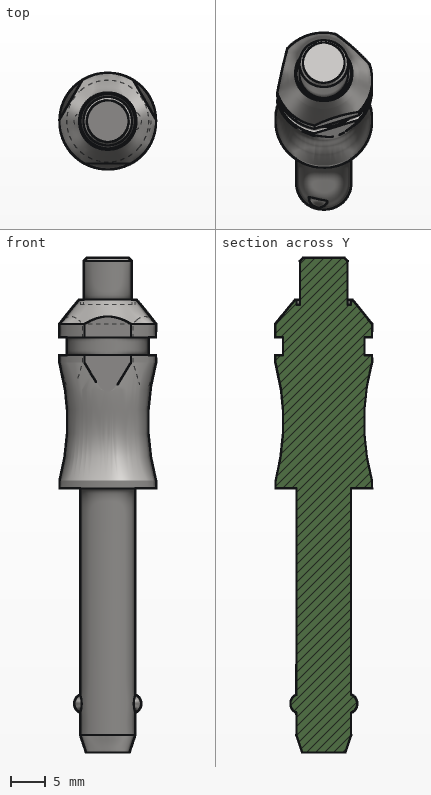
import cadquery as cq

shank_radius = 4.0
tip_radius = 3.15
tip_height = 2.6

ball_radius = 1.4
ball_reach = 4.85
ball_z = 7.05

handle_radius = 7.0
handle_base_z = 38.1
rim_height = 1.1
waist_radius = 5.85
handle_shoulder_z = 57.25
neck_radius = 5.9
head_base_z = 59.8
head_cone_z = 61.75
head_round_radius = 5.05
head_round_z = 64.2
head_top_radius = 4.1
head_top_z = 65.25

flat_distance = 6.1
flat_count = 3
first_flat_angle = -90

button_radius = 3.5
button_chamfer = 0.5
button_gap = 0.4
gap_depth = 0.7
total_height = 71.3


def make_handle():
    """Revolve the grip, neck and head about the pin axis."""
    grip_bottom_z = handle_base_z + rim_height
    grip_top_z = handle_shoulder_z - rim_height
    waist_z = (grip_bottom_z + grip_top_z) / 2
    half_grip = grip_top_z - waist_z
    waist_depth = handle_radius - waist_radius
    grip_curve_radius = (half_grip**2 + waist_depth**2) / (2 * waist_depth)
    return (
        cq.Workplane("XZ")
        .moveTo(0, handle_base_z)
        .lineTo(handle_radius, handle_base_z)
        .lineTo(handle_radius, grip_bottom_z)
        .radiusArc((waist_radius, waist_z), grip_curve_radius)
        .radiusArc((handle_radius, grip_top_z), grip_curve_radius)
        .lineTo(handle_radius, handle_shoulder_z)
        .lineTo(neck_radius, handle_shoulder_z)
        .lineTo(neck_radius, head_base_z)
        .lineTo(handle_radius, head_base_z)
        .lineTo(handle_radius, head_cone_z)
        .lineTo(head_round_radius, head_round_z)
        .tangentArcPoint((head_top_radius, head_top_z), relative=False)
        .lineTo(0, head_top_z)
        .close()
        .revolve(360, (0, 0, 0), (0, 1, 0))
    )


def cut_flats(handle):
    """Cut equally spaced vertical flats that run out in the concave grip."""
    block_height = total_height - handle_base_z
    waist_z = (handle_base_z + handle_shoulder_z) / 2
    for index in range(flat_count):
        angle = first_flat_angle + index * 360 / flat_count
        block = (
            cq.Workplane("XY", origin=(0, 0, waist_z))
            .center(flat_distance + handle_radius / 2, 0)
            .rect(handle_radius, 2 * handle_radius)
            .extrude(block_height)
            .rotate((0, 0, 0), (0, 0, 1), angle)
        )
        handle = handle.cut(block)
    return handle


def make_shank():
    """Shank with a conical tip, reaching into the handle."""
    return (
        cq.Workplane("XZ")
        .moveTo(0, 0)
        .lineTo(tip_radius, 0)
        .lineTo(shank_radius, tip_height)
        .lineTo(shank_radius, handle_base_z + rim_height)
        .lineTo(0, handle_base_z + rim_height)
        .close()
        .revolve(360, (0, 0, 0), (0, 1, 0))
    )


def make_button():
    """Chamfered release button standing in the head recess."""
    base_z = head_top_z - 2 * gap_depth
    return (
        cq.Workplane("XY", origin=(0, 0, base_z))
        .circle(button_radius)
        .extrude(total_height - base_z)
        .faces(">Z")
        .chamfer(button_chamfer)
    )


recess = (
    cq.Workplane("XY", origin=(0, 0, head_top_z))
    .circle(button_radius + button_gap)
    .extrude(-gap_depth)
)
result = cut_flats(make_handle()).cut(recess).union(make_button()).union(make_shank())

for side in (-1, 1):
    ball_x = side * (ball_reach - ball_radius)
    ball = cq.Workplane("XY").sphere(ball_radius).translate((ball_x, 0, ball_z))
    result = result.union(ball)